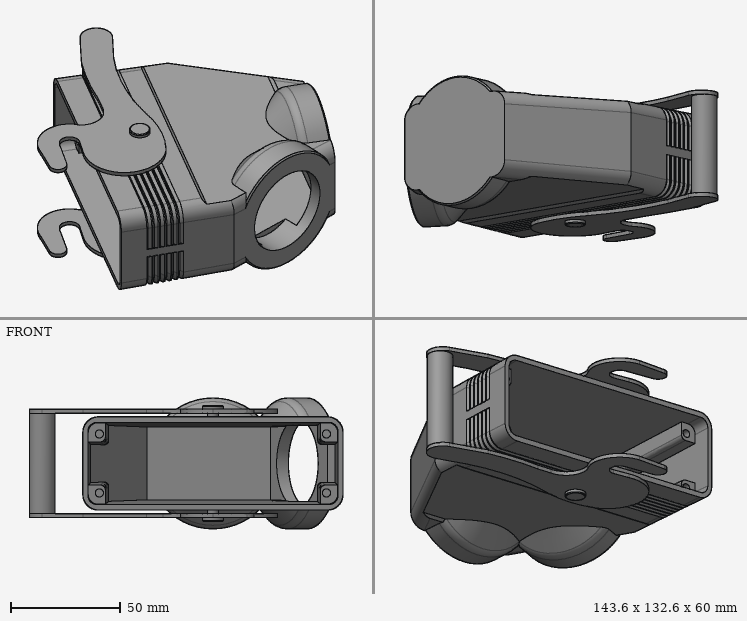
import cadquery as cq
import math


rim_half_width = 59.6
rim_half_height = 21.4
hood_length = 109.3
shoulder_y = 53.7
shoulder_half_width = 58.9
end_half_width = 30.3
corner_radius = 7.0
draft = math.tan(math.radians(0.7))

cut_margin = 1.5

panel_depth = 1.1
panel_start = 39.9
panel_end = 96.4
panel_ramp = 1.6

boss_radius = 30.0
boss_length = 13.2
boss_chamfer = 0.7
boss_fillet = 5.7
boss_cone_angle = math.radians(45)
bore_radius = 20.3
slope_boss_shift = 1.6

cavity_half_width = 57.3
cavity_half_height = 18.8
cavity_corner_radius = 4.3
ledge_y = 54.0
ledge_half_width = 56.0
cavity_floor_y = 103.5
floor_left_x = -30.2
floor_right_x = 26.3
right_ledge_x = 52.5
floor_half_height = 16.7
cavity_draft = (cavity_half_height - floor_half_height) / cavity_floor_y
ledge_half_height = cavity_half_height - cavity_draft * ledge_y

post_front_y = 9.2
post_back_y = 71.8
post_inner_x = 49.3
post_inner_z = 9.9
post_growth = 1.6
post_size = 20.7
post_corner_radius = 2.2
screw_x = 52.0
screw_z = 13.5
screw_radius = 1.9
screw_depth = 14.4

groove_count = 6
groove_pitch = 3.0
first_groove_y = 12.0
groove_depth = 0.9
groove_rise = 0.9
groove_fall = 1.6
groove_gap_half = 2.2

pivot_y = 24.8
pin_radius = 2.51
pin_root_z = 20.1
pin_head_radius = 4.7
pin_head_height = 1.7
pin_head_chamfer = 0.5

plate_inner_z = 23.0
plate_thickness = 1.9
plate_outer_z = plate_inner_z + plate_thickness
grip_radius = 7.5
overall_width = 143.6
grip_left_x = rim_half_width - overall_width
grip_angle = math.radians(14)
rod_radius = 5.9
hook_y = -8.5
hook_radius = 14.8
slot_radius = 4.7
hook_end_angle = math.radians(147)
grip_top_end = (-59.2, 28.5)
grip_top_sag = (-41.8, 26.9)
brow_start = (-13.2, 31.3)
brow_crest = (-0.1, 34.2)
head_start = (15.2, 33.2)
head_side = (29.6, 14.6)
head_end = (8.5, -4.3)
hook_tip_start = (14.6, -14.0)
hook_tip_nose = (18.8, -18.0)
hook_tip_end = (15.5, -22.0)
throat_center = (-21.8, 4.0)
throat_radius = 9.3
throat_middle_angle = math.radians(45)
throat_end_angle = math.radians(97)
grip_bottom_start = (-30.5, 13.2)
grip_bottom_sag = (-45.2, 12.4)
grip_bottom_end = (-59.5, 13.2)


def polar(center, radius, angle):
    return (center[0] + radius * math.cos(angle), center[1] + radius * math.sin(angle))


def rounded_section(y, half_width, half_height, radius):
    """Rounded rectangle in the plane at height y, ready to be lofted."""
    sketch = cq.Sketch().rect(2 * half_width, 2 * half_height).vertices().fillet(radius)
    return sketch.moved(cq.Location(cq.Plane(origin=(0, y, 0), xDir=(1, 0, 0), normal=(0, 1, 0))))


def rounded_frustum(y0, size0, y1, size1, radius):
    """Tapered block with rounded corners; each size is (half width, half height)."""
    sections = (rounded_section(y0, *size0, radius), rounded_section(y1, *size1, radius))
    return cq.Workplane().placeSketch(*sections).loft()


def lengthwise_prism(points):
    """Extrude a (Y, Z) polygon across the full width of the hood."""
    return cq.Workplane("YZ").polyline(points).close().extrude(rim_half_width + cut_margin, both=True)


def plan_prism(points):
    """Extrude an (X, Y) polygon through the full height of the hood."""
    return cq.Workplane("XY").polyline(points).close().extrude(rim_half_height + cut_margin, both=True)


def outer_half_height(y):
    return rim_half_height - draft * y


def hood_shell():
    """Solid hood: flat sides, then sloping shoulders, with rounded long edges."""
    right_side = [
        (rim_half_width, 0),
        (shoulder_half_width, shoulder_y),
        (end_half_width, hood_length),
    ]
    left_side = [(-x, y) for x, y in reversed(right_side)]
    end_half_height = outer_half_height(hood_length)
    taper = lengthwise_prism([
        (0, -rim_half_height),
        (hood_length, -end_half_height),
        (hood_length, end_half_height),
        (0, rim_half_height),
    ])
    block = plan_prism(right_side + left_side).intersect(taper)
    broad_faces = block.faces(">Z or <Z")
    return broad_faces.edges("not |X").fillet(corner_radius)


def panel_cuts():
    """Shallow step across each broad face, sloped at both of its ends."""
    outside = rim_half_height + cut_margin
    floor_start = panel_start + panel_ramp
    floor_end = panel_end - panel_ramp
    profile = [
        (panel_start, outside),
        (panel_start, outer_half_height(panel_start)),
        (floor_start, outer_half_height(floor_start) - panel_depth),
        (floor_end, outer_half_height(floor_end) - panel_depth),
        (panel_end, outer_half_height(panel_end)),
        (panel_end, outside),
    ]
    cut = lengthwise_prism(profile)
    return cut.union(cut.mirror("XY"))


slope_run = shoulder_half_width - end_half_width
slope_rise = hood_length - shoulder_y
slope_length = math.hypot(slope_run, slope_rise)
slope_boss_distance = slope_length / 2 + slope_boss_shift
slope_boss_center = (
    shoulder_half_width - slope_run * slope_boss_distance / slope_length,
    shoulder_y + slope_rise * slope_boss_distance / slope_length,
    0,
)


def entry_plane(origin, outward):
    return cq.Plane(origin=origin, xDir=(0, 0, 1), normal=outward)


end_entry = entry_plane((0, hood_length, 0), (0, 1, 0))
slope_entry = entry_plane(slope_boss_center, (slope_rise, slope_run, 0))


def entry_boss(plane):
    """Round boss that reaches inward from the plane, bends over a fillet and closes with a cone."""
    bend = boss_cone_angle
    tangent = boss_fillet * math.tan(bend / 2)
    cone_length = boss_radius / math.tan(bend)
    fillet_center = (boss_radius - boss_fillet, -boss_length + tangent)
    profile = (
        cq.Workplane("XY")
        .moveTo(0, 0)
        .lineTo(boss_radius - boss_chamfer, 0)
        .lineTo(boss_radius, -boss_chamfer)
        .lineTo(boss_radius, fillet_center[1])
        .threePointArc(polar(fillet_center, boss_fillet, -bend / 2), polar(fillet_center, boss_fillet, -bend))
        .lineTo(0, -boss_length - cone_length)
        .close()
    )
    boss = profile.revolve(360, (0, 0, 0), (0, 1, 0)).val()
    upright = boss.rotate(cq.Vector(0, 0, 0), cq.Vector(1, 0, 0), 90)
    return cq.Workplane(upright.moved(cq.Location(plane)))


def screw_post():
    """Tapered square post in the +X, +Z corner, with a blind screw hole."""
    def section(y, growth):
        center = (post_inner_x - growth + post_size / 2, y, post_inner_z - growth + post_size / 2)
        plane = cq.Plane(origin=center, xDir=(1, 0, 0), normal=(0, 1, 0))
        outline = cq.Sketch().rect(post_size, post_size).vertices().fillet(post_corner_radius)
        return outline.moved(cq.Location(plane))

    post = cq.Workplane().placeSketch(section(post_front_y, 0), section(post_back_y, post_growth)).loft()
    hole_start = cq.Workplane("XZ", origin=(screw_x, post_front_y, screw_z))
    hole = hole_start.circle(screw_radius).extrude(-screw_depth)
    return post.cut(hole)


def cavity():
    """Straight chamber behind the rim, then a chamber that narrows, around the screw posts."""
    front_chamber = rounded_frustum(
        0, (cavity_half_width, cavity_half_height),
        ledge_y, (ledge_half_width, ledge_half_height),
        cavity_corner_radius,
    )
    back_plan = plan_prism([
        (-ledge_half_width, ledge_y),
        (right_ledge_x, ledge_y),
        (floor_right_x, cavity_floor_y),
        (floor_left_x, cavity_floor_y),
    ])
    back_taper = lengthwise_prism([
        (ledge_y, -ledge_half_height),
        (cavity_floor_y, -floor_half_height),
        (cavity_floor_y, floor_half_height),
        (ledge_y, ledge_half_height),
    ])
    space = front_chamber.union(back_plan.intersect(back_taper))
    post = screw_post()
    for corner in (post, post.mirror("YZ"), post.mirror("XY"), post.mirror("XY").mirror("YZ")):
        space = space.cut(corner)
    return space


def groove_ring(low_y):
    """Cutter for one V groove around the hood, left out at the middle of the narrow sides."""
    overshoot = groove_depth / 2
    reach = (groove_depth + overshoot) / groove_depth
    valley_y = low_y + groove_rise
    start_y = valley_y - reach * groove_rise
    stop_y = valley_y + reach * groove_fall

    def outline(y, depth):
        return (rim_half_width - draft * y - depth, outer_half_height(y) - depth)

    valley = outline(valley_y, groove_depth)
    lower = rounded_frustum(start_y, outline(start_y, -overshoot), valley_y, valley, corner_radius)
    upper = rounded_frustum(valley_y, valley, stop_y, outline(stop_y, -overshoot), corner_radius)
    width = 2 * (rim_half_width + cut_margin)
    height = 2 * (rim_half_height + cut_margin)
    slab = cq.Workplane("XY").box(width, stop_y - start_y, height).translate((0, (start_y + stop_y) / 2, 0))
    gap = cq.Workplane("XY").box(width, hood_length, 2 * groove_gap_half)
    return slab.cut(lower).cut(upper).cut(gap)


def pivot_pin():
    """Headed pin on the +Z face of the hood."""
    shank = (
        cq.Workplane("XY", origin=(0, pivot_y, pin_root_z))
        .circle(pin_radius)
        .extrude(plate_outer_z - pin_root_z)
    )
    head = (
        cq.Workplane("XY", origin=(0, pivot_y, plate_outer_z))
        .circle(pin_head_radius)
        .extrude(pin_head_height)
        .faces(">Z")
        .chamfer(pin_head_chamfer)
    )
    return shank.union(head)


def make_hood():
    hood = hood_shell().cut(panel_cuts())
    hood = hood.union(entry_boss(end_entry)).union(entry_boss(slope_entry))
    hood = hood.cut(cavity())
    bore = cq.Workplane(slope_entry).circle(bore_radius).extrude(-boss_length)
    hood = hood.cut(bore)
    for index in range(groove_count):
        hood = hood.cut(groove_ring(first_groove_y + index * groove_pitch))
    pin = pivot_pin()
    return hood.union(pin).union(pin.mirror("XY"))


def lever_plate():
    """Upper lever plate: grip end, pivot head and the hook below it."""
    grip_center = (grip_left_x + grip_radius, pivot_y)
    grip_top = polar(grip_center, grip_radius, math.radians(90) - grip_angle)
    grip_bottom = polar(grip_center, grip_radius, math.radians(270) - grip_angle)
    hook_center = (0, hook_y)
    return (
        cq.Workplane("XY", origin=(0, 0, plate_inner_z))
        .moveTo(*grip_bottom)
        .threePointArc((grip_left_x, pivot_y), grip_top)
        .lineTo(*grip_top_end)
        .threePointArc(grip_top_sag, brow_start)
        .threePointArc(brow_crest, head_start)
        .threePointArc(head_side, head_end)
        .lineTo(0, hook_y + slot_radius)
        .threePointArc((-slot_radius, hook_y), (0, hook_y - slot_radius))
        .lineTo(*hook_tip_start)
        .threePointArc(hook_tip_nose, hook_tip_end)
        .lineTo(0, hook_y - hook_radius)
        .threePointArc((-hook_radius, hook_y), polar(hook_center, hook_radius, hook_end_angle))
        .threePointArc(
            polar(throat_center, throat_radius, throat_middle_angle),
            polar(throat_center, throat_radius, throat_end_angle),
        )
        .lineTo(*grip_bottom_start)
        .threePointArc(grip_bottom_sag, grip_bottom_end)
        .close()
        .extrude(plate_thickness)
        .cut(cq.Workplane("XY", origin=(0, pivot_y, 0)).circle(pin_radius).extrude(plate_outer_z))
    )


def make_lever():
    plate = lever_plate()
    rod_center = (grip_left_x + rod_radius, pivot_y)
    rod = cq.Workplane("XY").center(*rod_center).circle(rod_radius).extrude(plate_inner_z, both=True)
    return rod.union(plate).union(plate.mirror("XY"))


hood = make_hood()
lever = make_lever()
result = cq.Compound.makeCompound([hood.val(), lever.val()])